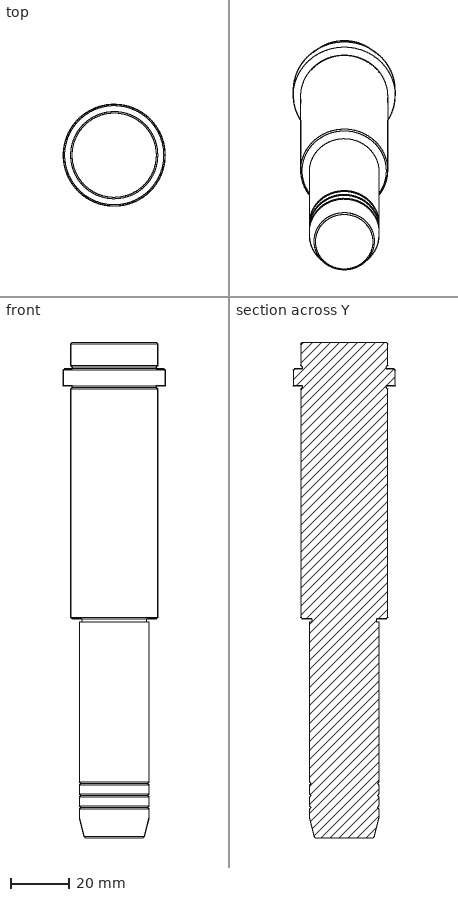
import cadquery as cq

length = 170.0
flange_diameter = 35.0
body_diameter = 30.0
pin_diameter = 24.0
tip_diameter = 20.7

taper_height = 7.0
step_height = 75.1
flange_bottom = 155.0
flange_top = 161.0

body_chamfer = 0.5
flange_chamfer = 0.5
tip_chamfer = 0.5
neck_height = 0.5
pin_relief_width = 1.0
pin_relief_depth = 0.8
ring_groove_count = 3
ring_groove_pitch = 4.0
ring_groove_width = 1.0
ring_groove_depth = 0.5
first_ring_groove_bottom = 10.0

neck_diameter = body_diameter - 2 * body_chamfer


def cylinder(diameter, bottom, top):
    """Solid cylinder about the Z axis between two heights."""
    return cq.Workplane("XY").workplane(offset=bottom).circle(diameter / 2).extrude(top - bottom)


def v_groove(diameter, depth, bottom, width):
    """Ring that cuts a V-shaped groove into a shaft of the given diameter."""
    radius = diameter / 2
    return (
        cq.Workplane("XZ")
        .moveTo(radius, bottom)
        .lineTo(radius - depth, bottom + width / 2)
        .lineTo(radius, bottom + width)
        .close()
        .revolve(360, (0, 0, 0), (0, 1, 0))
    )


pin = (
    cq.Workplane("XZ")
    .moveTo(0, 0)
    .lineTo(tip_diameter / 2 - tip_chamfer, 0)
    .lineTo(tip_diameter / 2, tip_chamfer)
    .lineTo(pin_diameter / 2, taper_height)
    .lineTo(pin_diameter / 2, step_height - pin_relief_width)
    .lineTo(pin_diameter / 2 - pin_relief_depth, step_height - pin_relief_width)
    .lineTo(pin_diameter / 2 - pin_relief_depth, step_height)
    .lineTo(0, step_height)
    .close()
    .revolve(360, (0, 0, 0), (0, 1, 0))
)

for index in range(ring_groove_count):
    groove_bottom = first_ring_groove_bottom + index * ring_groove_pitch
    pin = pin.cut(v_groove(pin_diameter, ring_groove_depth, groove_bottom, ring_groove_width))

lower_body = cylinder(body_diameter, step_height, flange_bottom - neck_height)
upper_body = cylinder(body_diameter, flange_top + neck_height, length)
body = cylinder(neck_diameter, step_height, length)
for section in (lower_body, upper_body):
    body = body.union(section.faces("<Z or >Z").chamfer(body_chamfer))

flange = cylinder(flange_diameter, flange_bottom, flange_top).faces(">Z").chamfer(flange_chamfer)

result = pin.union(body).union(flange)